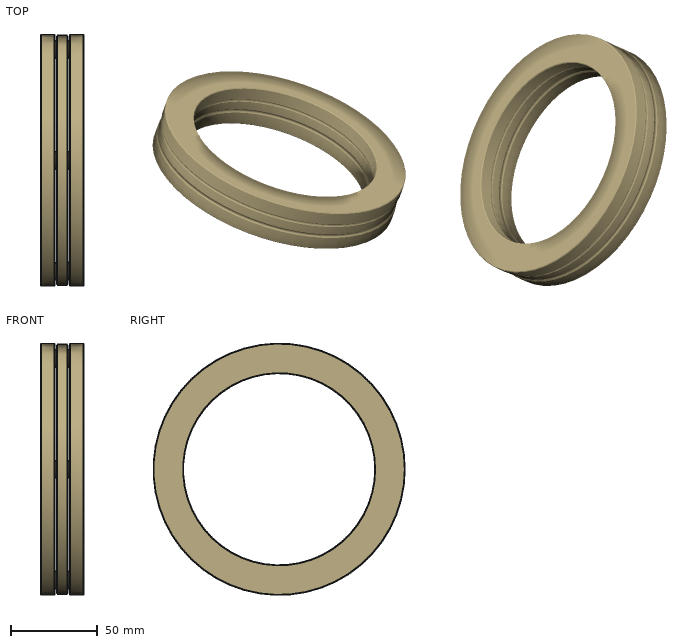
import cadquery as cq

total_width = 25.0
washer_outer_diameter = 145.0
washer_bore_diameter = 110.0
washer_width = 8.3
washer_chamfer = 0.5

cage_outer_diameter = 144.0
cage_bore_diameter = 111.1
cage_width = 6.7
cage_chamfer = 0.7

ball_diameter = 12.6
ball_count = 4
ball_radius = ball_diameter / 2
pitch_radius = (washer_outer_diameter + washer_bore_diameter) / 4


def make_ring(outer_diameter, bore_diameter, width, chamfer, center_x):
    """Flat ring around the X axis with all four rims chamfered."""
    return (
        cq.Workplane("YZ", origin=(center_x - width / 2, 0, 0))
        .circle(outer_diameter / 2)
        .circle(bore_diameter / 2)
        .extrude(width)
        .faces("<X or >X")
        .edges()
        .chamfer(chamfer)
    )


def make_raceway():
    """Torus swept by the balls as they roll around the X axis."""
    return cq.Workplane(
        cq.Solid.makeTorus(pitch_radius, ball_radius, cq.Vector(0, 0, 0), cq.Vector(1, 0, 0))
    )


def make_washer(side):
    """Washer on the -X (side = -1) or +X (side = 1) end, with its ball groove."""
    center_x = side * (total_width - washer_width) / 2
    washer = make_ring(
        washer_outer_diameter,
        washer_bore_diameter,
        washer_width,
        washer_chamfer,
        center_x,
    )
    return washer.cut(make_raceway()).solids()


def make_ball(angle):
    """Ball on the pitch circle, turned by angle about the X axis from +Z."""
    ball = cq.Workplane("XY").sphere(ball_radius).translate((0, 0, pitch_radius))
    return ball.rotate((0, 0, 0), (1, 0, 0), angle)


def make_cage(balls):
    """Ring between the washers with a matching pocket for each ball."""
    cage = make_ring(
        cage_outer_diameter,
        cage_bore_diameter,
        cage_width,
        cage_chamfer,
        center_x=0,
    )
    for ball in balls:
        cage = cage.cut(ball)
    return cage.solids()


balls = [make_ball(index * 360 / ball_count) for index in range(ball_count)]
washers = [make_washer(side) for side in (-1, 1)]
cage = make_cage(balls)

result = cq.Compound.makeCompound(
    [
        *[washer.val() for washer in washers],
        cage.val(),
        *[ball.val() for ball in balls],
    ]
)